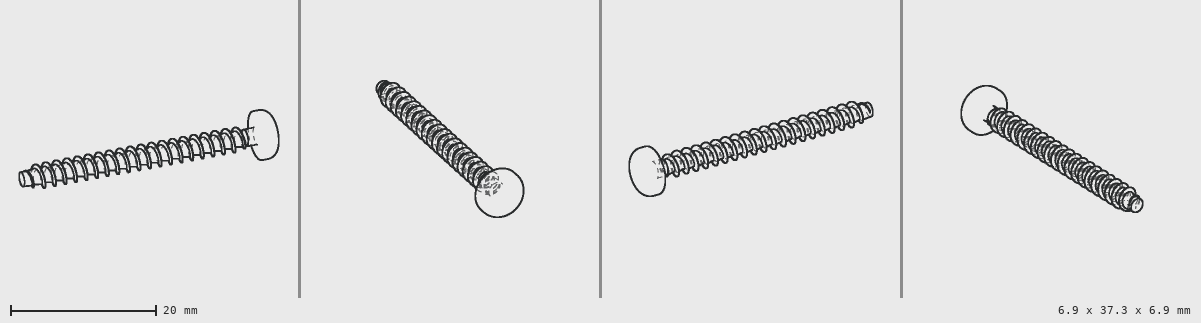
import cadquery as cq
import math


overall_length = 37.3
head_radius = 6.9 / 2
head_height = 2.3
head_round = 1.38
rim_round = 0.07
neck_radius = 1.2
neck_fillet = 0.37

neck_end_y = -1.75
tip_y = head_height - overall_length

first_crest_y = -2.4
full_turns = 19
full_turns_length = 29.85
pitch = full_turns_length / full_turns
crest_radius = 1.75
crest_width = 0.07
ridge_width = 0.5

root_radius = 1.2
valley_radius = 1.0

start_crest_radius = root_radius + 0.05
full_height_turn = 0.5
run_in_per_turn = 0.45
fade_turn = full_turns + 0.25
fade_length = 1.25
end_width_share = 0.2

body_start_turn = -2
body_turns = full_turns + 4
points_per_turn = 24


def run_out_share(turn):
    """Share of the run-out covered: 0 along the thread, 1 where the ridge ends near the tip."""
    return min(1, max(0, (turn - fade_turn) / fade_length))


def axis_at(turn):
    """Zero radius at every turn."""
    return 0


def valley_at(turn):
    """Core radius on the head side of the ridge, the same at every turn."""
    return valley_radius


def crest_at(turn):
    """Crest radius: rises in the run-in, then stays constant, then sinks to the core."""
    run_in = max(0, run_in_per_turn * (full_height_turn - turn))
    run_out = (crest_radius - valley_radius) * run_out_share(turn)
    return max(start_crest_radius, crest_radius - run_in) - run_out


def root_at(turn):
    """Core radius on the tip side of the ridge: constant, then sinks to the valley radius."""
    return root_radius - (root_radius - valley_radius) * run_out_share(turn)


ridge_corners = [
    (valley_at, ridge_width / 2),
    (crest_at, crest_width / 2),
    (crest_at, -crest_width / 2),
    (root_at, -ridge_width / 2),
]


def helix_point(corner, turn):
    """Place of a profile corner at this turn; the profile narrows along the run-out."""
    radius_at, axial_offset = corner
    radius = radius_at(turn)
    angle = 2 * math.pi * turn
    width_share = 1 - (1 - end_width_share) * run_out_share(turn)
    y = first_crest_y - pitch * turn + axial_offset * width_share
    return cq.Vector(radius * math.cos(angle), y, radius * math.sin(angle))


def helix_edge(corner, first_turn):
    """One turn of the helix that a profile corner follows."""
    turns = [first_turn + step / points_per_turn for step in range(points_per_turn + 1)]
    return cq.Edge.makeSpline([helix_point(corner, turn) for turn in turns])


def ruled_turn(first_turn):
    """Ruled faces over one turn, from the head-side corner to that of the next turn."""
    edges = [helix_edge(corner, first_turn) for corner in ridge_corners]
    edges.append(helix_edge(ridge_corners[0], first_turn + 1))
    return [cq.Face.makeRuledSurface(a, b) for a, b in zip(edges, edges[1:])]


def end_cap(first_turn):
    """Helicoid from the axis to the head-side corner, and the flat profile that closes it."""
    head_side = ridge_corners[0]
    axis = (axis_at, head_side[1])
    axis_start = helix_point(axis, first_turn)
    axis_end = helix_point(axis, first_turn + 1)
    helicoid = cq.Face.makeRuledSurface(
        cq.Edge.makeLine(axis_start, axis_end), helix_edge(head_side, first_turn)
    )
    outline = [axis_start]
    outline += [helix_point(corner, first_turn) for corner in ridge_corners]
    outline += [helix_point(head_side, first_turn + 1), axis_end]
    profile = cq.Face.makeFromWires(cq.Wire.makePolygon(outline, close=True))
    return [helicoid, profile]


def make_threaded_core():
    """Helical body closed by its end caps, trimmed flat at the neck end and at the tip."""
    faces = end_cap(body_start_turn) + end_cap(body_start_turn + body_turns)
    for turn_number in range(body_turns):
        faces += ruled_turn(body_start_turn + turn_number)
    body = cq.Solid.makeSolid(cq.Shell.makeShell(faces)).fix()
    threaded_length = neck_end_y - tip_y
    limits = cq.Workplane("XZ", origin=(0, neck_end_y, 0)).circle(head_radius).extrude(threaded_length)
    return cq.Workplane(obj=body).intersect(limits)


def make_head_and_neck():
    """Revolve the rounded head and the filleted neck about the Y axis."""
    middle_inset = 1 - math.sqrt(0.5)
    round_middle = head_round * middle_inset
    rim_middle = rim_round * middle_inset
    fillet_middle = neck_fillet * middle_inset
    return (
        cq.Workplane("XY")
        .moveTo(0, head_height)
        .lineTo(head_radius - head_round, head_height)
        .threePointArc(
            (head_radius - round_middle, head_height - round_middle),
            (head_radius, head_height - head_round),
        )
        .lineTo(head_radius, rim_round)
        .threePointArc((head_radius - rim_middle, rim_middle), (head_radius - rim_round, 0))
        .lineTo(neck_radius + neck_fillet, 0)
        .threePointArc((neck_radius + fillet_middle, -fillet_middle), (neck_radius, -neck_fillet))
        .lineTo(neck_radius, neck_end_y)
        .lineTo(0, neck_end_y)
        .close()
        .revolve(360, (0, 0, 0), (0, 1, 0))
    )


result = make_head_and_neck().union(make_threaded_core())